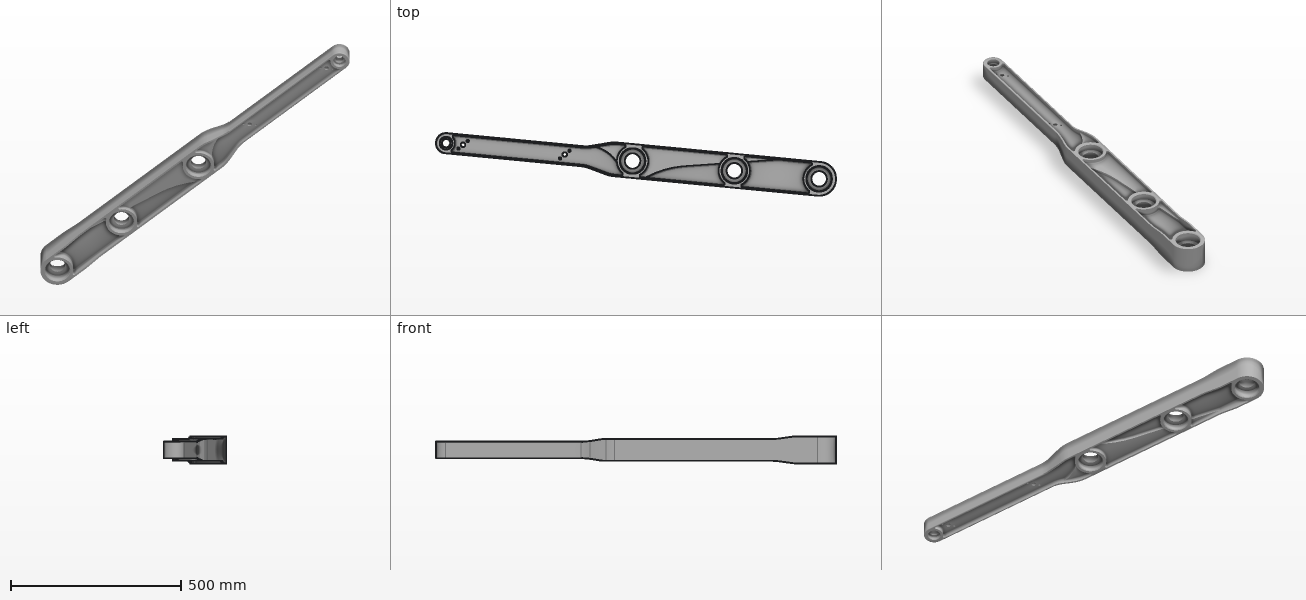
import cadquery as cq
import math

OVERALL_WIDTH = 184.75
INNER_BORE = 550
MIDDLE_BORE = 850
END_BORE = 1100

EYE_RADIUS = 30
END_RADIUS = 50
FLARE_START = 413.5
FLARE_ANGLE = 15
BEND_RADIUS = 100
FLARE_SLOPE = math.tan(math.radians(FLARE_ANGLE))
FLARE_END = FLARE_START + (END_RADIUS - EYE_RADIUS) / FLARE_SLOPE
TILT = math.degrees(math.asin((OVERALL_WIDTH - EYE_RADIUS - END_RADIUS) / END_BORE))

SLIM_HALF = 25
BODY_HALF = 32.5
END_HALF = 40
BODY_TAPER = (418, 466)
END_TAPER = (977, 1031)
SLIM_EDGE_FILLET = 2.5
SLIM_FILLET_END = 405

WALL = 5
DEEP_FLOOR = 10
RAISED_FLOOR = 20
CORNER_RADIUS = 4
FLOOR_FILLET = 3

FIRST_STEP = ((420, 33), (479, 15), (519.5, -33))
SECOND_STEP_CURVE = ((590, -47), (645, -17), (700, -1))
SECOND_STEP_END = (1000, 49)

HOLE_RADIUS = 22.5
SEAT_RADIUS = 36
BOSS_RADIUS = 46
EYE_HOLE_RADIUS = 12
EYE_SEAT_RADIUS = 18
EYE_BOSS_RADIUS = 26
SEAT_FLOOR = 12
SEAT_CHAMFER = 2
EYE_SEAT_CHAMFER = 1

GROUP_PLACES = (50, 350)
PIN_HOLE_RADIUS = 6.5
SCREW_HOLE_RADIUS = 3.25
SCREW_OFFSET = 12.5

REACH = 4 * END_RADIUS
TOLERANCE = 0.001

BORES = (
    (0, EYE_BOSS_RADIUS, EYE_SEAT_RADIUS, EYE_HOLE_RADIUS, EYE_SEAT_CHAMFER, SLIM_HALF),
    (INNER_BORE, BOSS_RADIUS, SEAT_RADIUS, HOLE_RADIUS, SEAT_CHAMFER, BODY_HALF),
    (MIDDLE_BORE, BOSS_RADIUS, SEAT_RADIUS, HOLE_RADIUS, SEAT_CHAMFER, BODY_HALF),
    (END_BORE, BOSS_RADIUS, SEAT_RADIUS, HOLE_RADIUS, SEAT_CHAMFER, END_HALF),
)
BOSSES = tuple((bore[0], bore[1]) for bore in BORES)


def cylinder(x, y, radius, bottom, top):
    plane = cq.Workplane("XY", origin=(x, y, bottom))
    return plane.circle(radius).extrude(top - bottom)


def plan_prism(inset, bottom, top):
    """Upright prism of the plan outline, moved inward by inset."""
    eye = EYE_RADIUS - inset
    end = END_RADIUS - inset
    shift = inset * math.tan(math.radians(FLARE_ANGLE / 2))
    flare_start = FLARE_START + shift
    flare_end = FLARE_END + shift

    outline = cq.Workplane("XY", origin=(0, 0, bottom)).moveTo(0, eye)
    outline = outline.lineTo(flare_start, eye).lineTo(flare_end, end).lineTo(END_BORE, end)
    outline = outline.threePointArc((END_BORE + end, 0), (END_BORE, -end))
    outline = outline.lineTo(flare_end, -end).lineTo(flare_start, -eye).lineTo(0, -eye)
    outline = outline.threePointArc((-eye, 0), (0, eye)).close()

    bends = cq.selectors.BoxSelector((EYE_RADIUS, -REACH, -REACH), (INNER_BORE, REACH, REACH))
    return outline.extrude(top - bottom).edges("|Z").edges(bends).fillet(BEND_RADIUS)


def thickness_profile():
    """Side silhouette of the arm, extruded across it."""
    upper = [
        (-REACH, SLIM_HALF),
        (BODY_TAPER[0], SLIM_HALF),
        (BODY_TAPER[1], BODY_HALF),
        (END_TAPER[0], BODY_HALF),
        (END_TAPER[1], END_HALF),
        (END_BORE + REACH, END_HALF),
    ]
    lower = [(x, -z) for x, z in reversed(upper)]
    block = cq.Workplane("XZ").polyline(upper + lower).close().extrude(REACH, both=True)
    bends = cq.selectors.BoxSelector((0, -REACH, -REACH), (END_BORE, REACH, REACH))
    return block.edges("|Y").edges(bends).fillet(BEND_RADIUS)


def raised_region():
    """Block covering the floor between the two curved steps."""
    start, through, finish = FIRST_STEP
    sketch = cq.Workplane("XY").moveTo(start[0], REACH).lineTo(*start)
    sketch = sketch.threePointArc(through, finish)
    sketch = sketch.lineTo(INNER_BORE, 0).lineTo(INNER_BORE, -REACH)
    start, through, finish = SECOND_STEP_CURVE
    sketch = sketch.lineTo(start[0], -REACH).lineTo(*start)
    sketch = sketch.threePointArc(through, finish).lineTo(*SECOND_STEP_END)
    return sketch.lineTo(SECOND_STEP_END[0], REACH).close().extrude(REACH)


def open_space(floor):
    """Room above a floor height, inside the wall and between the bosses."""
    space = plan_prism(WALL, floor, REACH)
    for x, boss in BOSSES:
        space = space.cut(cylinder(x, 0, boss, 0, REACH))
    between = cq.Workplane("XY").box(END_BORE, REACH, 2 * REACH).translate((END_BORE / 2, 0, 0))
    return space.intersect(between)


def touches_boss(edge):
    """Whether an upright edge lies on the side of a boss."""
    place = edge.Center()
    gaps = [abs(math.hypot(place.x - x, place.y) - radius) for x, radius in BOSSES]
    return min(gaps) < TOLERANCE


def rounded_pockets(space):
    """Pockets with rounded upright corners beside the bosses and a filleted floor."""
    pockets = []
    for solid in space.solids().vals():
        corners = [edge for edge in cq.Workplane(solid).edges("|Z").vals() if touches_boss(edge)]
        pocket = cq.Workplane(solid.fillet(CORNER_RADIUS, corners))
        pockets.append(pocket.faces("<Z").edges().fillet(FLOOR_FILLET))
    return pockets


def arm_blank():
    """Solid arm with the outer edges of its slim part filleted."""
    blank = plan_prism(0, -END_HALF, END_HALF).intersect(thickness_profile())
    slim = plan_prism(0, -SLIM_HALF, SLIM_HALF).faces("<Z or >Z").edges().fillet(SLIM_EDGE_FILLET)
    slim_end = cq.Workplane("XY").box(2 * SLIM_FILLET_END, REACH, REACH)
    return blank.cut(slim_end).union(slim.intersect(slim_end))


def seat_tool(x, radius, chamfer, half):
    """Cutter for a bearing seat on the upper side, with a chamfered rim."""
    rim = cq.Solid.makeCone(radius, radius + chamfer, chamfer, cq.Vector(x, 0, half - chamfer))
    return cylinder(x, 0, radius, SEAT_FLOOR, half).union(cq.Workplane(rim))


def cut_through(body, x, y, radius):
    return body.cut(cylinder(x, y, radius, -REACH, REACH))


def cut_both_sides(body, tool):
    """Cut with a tool on the upper side and with its mirror image on the lower side."""
    return body.cut(tool).cut(tool.mirror("XY"))


body = arm_blank()

raised_space = open_space(RAISED_FLOOR)
deep_space = open_space(DEEP_FLOOR).cut(raised_region())
for pocket in rounded_pockets(raised_space) + rounded_pockets(deep_space):
    body = cut_both_sides(body, pocket)

for x, _, seat_radius, hole_radius, chamfer, half in BORES:
    body = cut_through(body, x, 0, hole_radius)
    body = cut_both_sides(body, seat_tool(x, seat_radius, chamfer, half))

for x in GROUP_PLACES:
    body = cut_through(body, x, 0, PIN_HOLE_RADIUS)
    for offset in (-SCREW_OFFSET, SCREW_OFFSET):
        body = cut_through(body, x + offset, offset, SCREW_HOLE_RADIUS)

result = body.rotate((0, 0, 0), (0, 0, 1), -TILT)